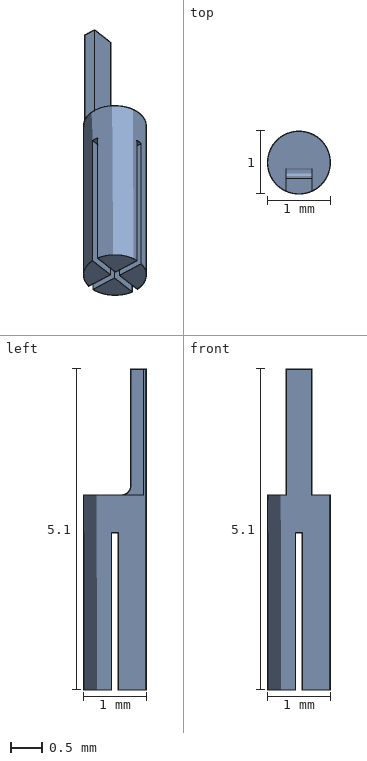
import cadquery as cq

total_height = 5.1
body_diameter = 1.0
body_radius = body_diameter / 2
body_height = 3.1

slot_width = 0.1
slot_depth = 2.5

tail_width = 0.41
tail_back_y = -body_radius / 2
root_fillet = 0.15


def cylinder(height):
    return cq.Workplane("XY").circle(body_radius).extrude(height)


def make_tail():
    """Tail with a filleted root, its front face following the body's round side."""
    root_back_y = tail_back_y + root_fillet
    profile = (
        cq.Workplane("YZ")
        .moveTo(-body_radius, 0)
        .lineTo(-body_radius, total_height)
        .lineTo(tail_back_y, total_height)
        .lineTo(tail_back_y, body_height + root_fillet)
        .radiusArc((root_back_y, body_height), -root_fillet)
        .lineTo(root_back_y, 0)
        .close()
        .extrude(tail_width / 2, both=True)
    )
    return profile.intersect(cylinder(total_height))


def make_slot(length_x, length_y):
    return cq.Workplane("XY").rect(length_x, length_y).extrude(slot_depth)


result = cylinder(body_height).union(make_tail())

result = result.cut(make_slot(slot_width, body_diameter))
result = result.cut(make_slot(body_diameter, slot_width))